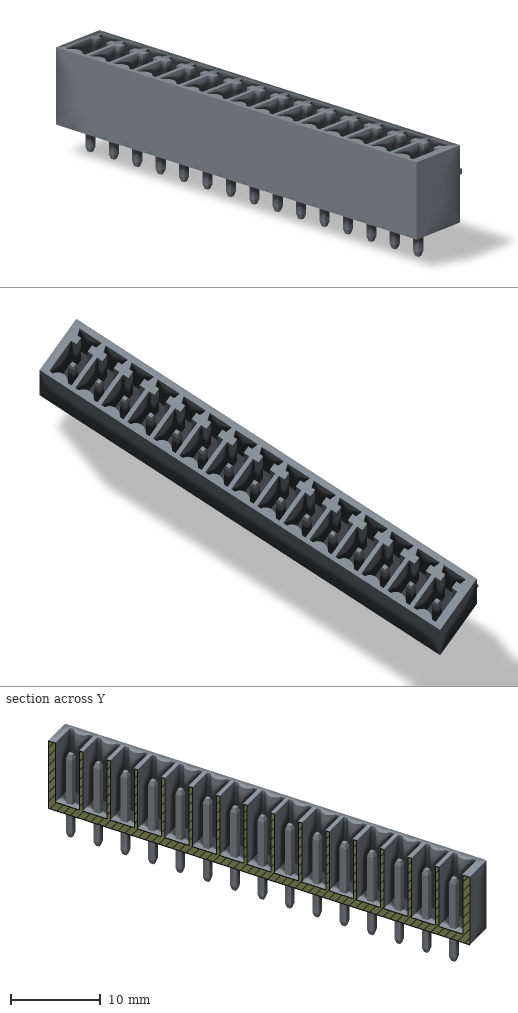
import cadquery as cq

pole_count = 15
pitch = 3.5

end_margin = 0.7
housing_length = pole_count * pitch + 2 * end_margin
housing_depth = 7.25
housing_height = 9.2
pin_to_front = 3.0
front_y = -pin_to_front
back_y = front_y + housing_depth

rib_projection = 0.3
rib_height = 0.6
rib_center_z = 6.0

floor_thickness = 1.2
partition_thickness = 0.5
front_wall = 0.5
back_wall = 0.75
chamber_half_width = (pitch - partition_thickness) / 2
chamber_front_y = front_y + front_wall
chamber_back_y = back_y - back_wall

neck_half_width = 0.75
neck_front_y = 1.8
neck_length = 0.9
neck_back_y = neck_front_y + neck_length
head_root_half_width = 1.25

key_half_width = 1.0
key_rise = 0.6

pin_width = 0.8
pin_tip_width = 0.45
pin_taper_length = 0.6
pin_bottom_z = -3.4
pin_top_z = 7.8

pin_positions = [((i - (pole_count - 1) / 2) * pitch, 0) for i in range(pole_count)]


def make_housing():
    """Plain block with a full-length rib on its back face."""
    block = cq.Workplane("XY").box(
        housing_length, housing_depth, housing_height, centered=(True, False, False)
    ).translate((0, front_y, 0))
    rib = cq.Workplane("XY").box(
        housing_length, rib_projection, rib_height, centered=(True, False, True)
    ).translate((0, back_y, rib_center_z))
    return block.union(rib)


def make_chamber():
    """Solid filling one plug chamber, centred on its pin."""
    return (
        cq.Workplane("XY")
        .workplane(offset=floor_thickness)
        .moveTo(-chamber_half_width, chamber_front_y)
        .lineTo(-key_half_width, chamber_front_y)
        .threePointArc((0, chamber_front_y + key_rise), (key_half_width, chamber_front_y))
        .lineTo(chamber_half_width, chamber_front_y)
        .lineTo(chamber_half_width, neck_front_y)
        .lineTo(neck_half_width, neck_front_y)
        .lineTo(neck_half_width, neck_back_y)
        .lineTo(head_root_half_width, neck_back_y)
        .lineTo(chamber_half_width, chamber_back_y)
        .lineTo(-chamber_half_width, chamber_back_y)
        .lineTo(-head_root_half_width, neck_back_y)
        .lineTo(-neck_half_width, neck_back_y)
        .lineTo(-neck_half_width, neck_front_y)
        .lineTo(-chamber_half_width, neck_front_y)
        .close()
        .extrude(housing_height - floor_thickness)
    )


def make_pin():
    """Square pin with both ends tapered to a blunt tip."""
    shank_bottom_z = pin_bottom_z + pin_taper_length
    shank_top_z = pin_top_z - pin_taper_length
    pin = (
        cq.Workplane("XY")
        .workplane(offset=shank_bottom_z)
        .rect(pin_width, pin_width)
        .extrude(shank_top_z - shank_bottom_z)
    )
    for shank_end_z, tip_offset in (
        (shank_bottom_z, -pin_taper_length),
        (shank_top_z, pin_taper_length),
    ):
        tip = (
            cq.Workplane("XY")
            .workplane(offset=shank_end_z)
            .rect(pin_width, pin_width)
            .workplane(offset=tip_offset)
            .rect(pin_tip_width, pin_tip_width)
            .loft(ruled=True)
        )
        pin = pin.union(tip)
    return pin


def repeat_at_poles(shape):
    """One copy of the shape at every pole of the row."""
    solid = shape.val()
    row = cq.Workplane("XY").pushPoints(pin_positions)
    return row.eachpoint(lambda place: solid.moved(place))


chambers = repeat_at_poles(make_chamber())
pins = repeat_at_poles(make_pin())
result = make_housing().cut(chambers).union(pins)